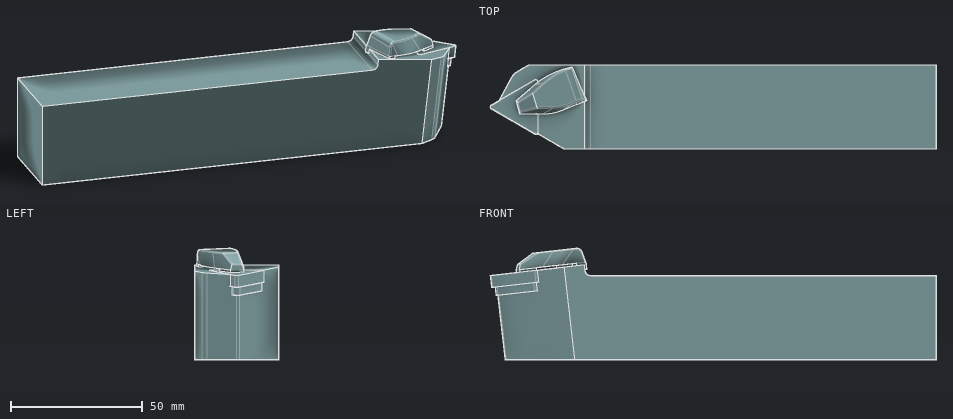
import cadquery as cq
import math

LENGTH = 169.2
SHANK = 32.0
TILT = 6.5
STEP_X = 35.7
STEP_FILLET_RADIUS = 2.2

HEAD_NOSE = (1.7, -0.7)
HEAD_SHOULDER = (8.8, 12.5)
HEAD_SHOULDER_END = 14.7
FLANK_ANGLE = 30.0
HEAD_NOSE_RADIUS = 0.8
HEAD_SHOULDER_RADIUS = 5.0

INSERT_SIDE = 22.0
INSERT_THICKNESS = 4.5
INSERT_RADIUS = 0.8
SHIM_THICKNESS = 3.2
SHIM_INSET = 0.2
SHIM_RADIUS = 1.5
SHIM_SETBACK = 0.3

CLAMP_GAP = 0.93
CLAMP_TOP = 6.6
CLAMP_BOTTOM_OUTLINE = [(10.0, 2.4), (11.3, -2.7), (24.0, -2.7), (36.7, 2.4), (31.3, 15.2), (21.8, 12.5)]
CLAMP_TOP_OUTLINE = [(12.0, 0.8), (12.2, -0.7), (29.0, -0.2), (35.4, 2.7), (31.5, 15.0), (25.5, 13.0)]
CLAMP_KNUCKLE_RADII = {2: 20.3, 5: 28.8}
CLAMP_REAR = (3, 4)
CLAMP_REAR_TOP_RADIUS = 2.2
CLAMP_EDGE_RADIUS = 0.5
CLAMP_HEADING = 17.0
RAMP_START = (17.8, 2.5)
RAMP_ANGLE = 27.0
RAMP_MIDDLE = (14.5, 1.4, 4.4)
PAD_LENGTH = 6.0
HEEL_START = 21.7
HEEL_DROP = 1.9
POST_DIAMETER = 6.3
POST_CENTER = (28.5, 7.5)

MARGIN = 17.0


def place_on_head(shape):
    """Move a shape from the head-top frame to its place on the tool."""
    return shape.rotate((0, 0, 0), (0, 1, 0), -TILT).translate((0, 0, SHANK))


def triangle_plate(inset, radius, top, thickness):
    """Equilateral plate with rounded corners, concentric with the insert."""
    height = INSERT_SIDE * math.sin(math.radians(60))
    apex = -INSERT_RADIUS + 2 * inset
    back = height - INSERT_RADIUS - inset
    half_side = (back - apex) * math.tan(math.radians(30))
    return (
        cq.Workplane("XY", origin=(0, 0, top - thickness))
        .polyline([(apex, 0), (back, -half_side), (back, half_side)])
        .close()
        .extrude(thickness)
        .edges("|Z")
        .fillet(radius)
    )


def holder_block():
    """Shank with the raised head top, trimmed to the pointed head outline."""
    step_top = SHANK + STEP_X * math.tan(math.radians(TILT))
    step_base_x = STEP_X + (step_top - SHANK) * math.tan(math.radians(TILT))
    front_z = SHANK - MARGIN * math.tan(math.radians(TILT))
    block = (
        cq.Workplane("XZ", origin=(0, SHANK / 2, 0))
        .polyline([
            (-MARGIN, 0), (LENGTH, 0), (LENGTH, SHANK), (step_base_x, SHANK),
            (STEP_X, step_top), (-MARGIN, front_z),
        ])
        .close()
        .extrude(SHANK)
        .edges("|Y")
        .edges(cq.selectors.NearestToPointSelector((step_base_x, 0, SHANK)))
        .fillet(STEP_FILLET_RADIUS)
    )

    half = SHANK / 2
    nose_x, nose_y = HEAD_NOSE
    flank_end = nose_x + (half + nose_y) / math.tan(math.radians(FLANK_ANGLE))
    far_end = LENGTH + MARGIN
    outline = (
        cq.Workplane("XY", origin=(0, 0, -2 * SHANK))
        .polyline([
            HEAD_NOSE, (flank_end, -half), (far_end, -half), (far_end, half),
            (HEAD_SHOULDER_END, half), HEAD_SHOULDER,
        ])
        .close()
        .extrude(2 * SHANK + MARGIN)
    )
    for corner, radius in ((HEAD_NOSE, HEAD_NOSE_RADIUS), (HEAD_SHOULDER, HEAD_SHOULDER_RADIUS)):
        near_corner = cq.selectors.NearestToPointSelector((*corner, 0))
        outline = outline.edges("|Z").edges(near_corner).fillet(radius)
    return block.intersect(place_on_head(outline))


def clamp_outline(corners, height):
    """Closed wire at a height through the corners, with both side knuckles rounded."""
    points = [cq.Vector(x, y, height) for x, y in corners]
    corner_count = len(points)
    edges = []
    path_end = points[0]
    for index in range(1, corner_count):
        corner = points[index]
        if index not in CLAMP_KNUCKLE_RADII:
            edges.append(cq.Edge.makeLine(path_end, corner))
            path_end = corner
            continue
        radius = CLAMP_KNUCKLE_RADII[index]
        to_previous = (points[index - 1] - corner).normalized()
        to_next = (points[(index + 1) % corner_count] - corner).normalized()
        half_angle = to_previous.getAngle(to_next) / 2
        tangent_length = radius / math.tan(half_angle)
        arc_start = corner + to_previous * tangent_length
        arc_end = corner + to_next * tangent_length
        corner_to_arc = radius / math.sin(half_angle) - radius
        arc_middle = corner + (to_previous + to_next).normalized() * corner_to_arc
        edges.append(cq.Edge.makeLine(path_end, arc_start))
        edges.append(cq.Edge.makeThreePointArc(arc_start, arc_middle, arc_end))
        path_end = arc_end
    edges.append(cq.Edge.makeLine(path_end, points[0]))
    return cq.Wire.assembleEdges(edges)


def edge_between(corner_a, corner_b):
    """Selector for the edge whose middle is halfway between two points."""
    return cq.selectors.NearestToPointSelector(((cq.Vector(*corner_a) + cq.Vector(*corner_b)) / 2).toTuple())


def clamp_foot(first, last, bottom, height):
    """Upright piece under the finger, between two distances from the tip along the finger."""
    limit = (
        cq.Workplane("XY", origin=(0, 0, bottom))
        .box(last - first, 2 * MARGIN, height, centered=(False, True, False))
        .translate((first, 0, 0))
        .rotate((0, 0, 0), (0, 0, 1), CLAMP_HEADING)
        .translate((*CLAMP_BOTTOM_OUTLINE[0], 0))
    )
    return (
        cq.Workplane("XY", origin=(0, 0, bottom))
        .polyline(CLAMP_BOTTOM_OUTLINE)
        .close()
        .extrude(height)
        .intersect(limit)
    )


def clamp_finger():
    """Drafted finger with a sloped tip, a pad on the insert, a heel over the step and a post."""
    bottom_wire = clamp_outline(CLAMP_BOTTOM_OUTLINE, CLAMP_GAP)
    top_wire = clamp_outline(CLAMP_TOP_OUTLINE, CLAMP_TOP)
    finger = cq.Workplane(cq.Solid.makeLoft([bottom_wire, top_wire], True))

    rear_top = [(*CLAMP_TOP_OUTLINE[index], CLAMP_TOP) for index in CLAMP_REAR]
    finger = finger.edges(edge_between(*rear_top)).fillet(CLAMP_REAR_TOP_RADIUS)

    ramp_cutter = (
        cq.Workplane("XY")
        .box(2 * MARGIN, 2 * MARGIN, MARGIN, centered=(True, True, False))
        .rotate((0, 0, 0), (0, 1, 0), -RAMP_ANGLE)
        .rotate((0, 0, 0), (0, 0, 1), CLAMP_HEADING)
        .translate((*RAMP_START, CLAMP_TOP))
    )
    finger = finger.cut(ramp_cutter)

    top_face = finger.faces(">Z")
    ramp_face = finger.faces(cq.selectors.NearestToPointSelector(RAMP_MIDDLE))
    ramp_crossing = finger.edges(cq.selectors.NearestToPointSelector((*RAMP_START, CLAMP_TOP))).val()
    rear_crossing = top_face.edges(edge_between(*rear_top)).val()
    rim = [
        edge for edge in top_face.add(ramp_face).edges().vals()
        if not edge.isSame(ramp_crossing) and not edge.isSame(rear_crossing)
    ]
    finger = finger.newObject(rim).fillet(CLAMP_EDGE_RADIUS)

    pad = clamp_foot(-MARGIN, PAD_LENGTH, 0, CLAMP_GAP)
    heel = clamp_foot(HEEL_START, 2 * MARGIN, -HEEL_DROP, CLAMP_GAP + HEEL_DROP)
    post = cq.Workplane("XY").center(*POST_CENTER).circle(POST_DIAMETER / 2).extrude(CLAMP_GAP)
    return finger.union(pad).union(heel).union(post)


insert = place_on_head(triangle_plate(0, INSERT_RADIUS, 0, INSERT_THICKNESS))
shim_plate = triangle_plate(SHIM_INSET, SHIM_RADIUS, -INSERT_THICKNESS, SHIM_THICKNESS)
shim = place_on_head(shim_plate.translate((SHIM_SETBACK, 0, 0)))
clamp = place_on_head(clamp_finger())

holder = holder_block().union(shim).cut(insert).union(clamp)

result = cq.Compound.makeCompound([holder.val(), insert.val()])